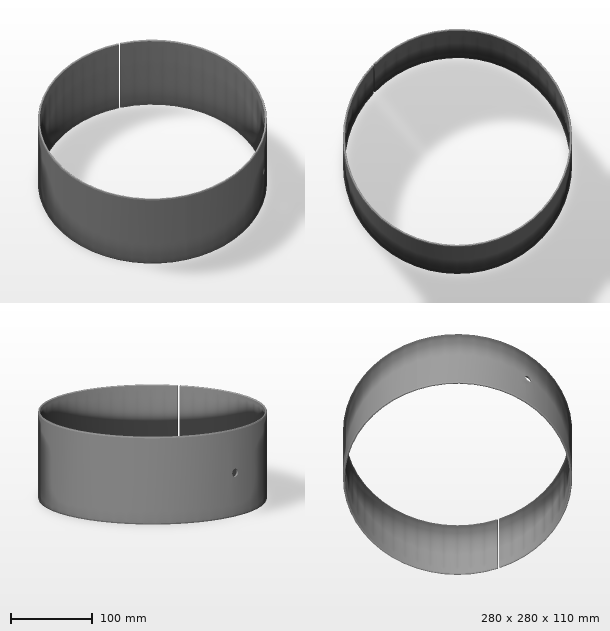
import cadquery as cq

outer_diameter = 280.0
height = 110.0
wall = 2.5
outer_bevel_drop = 1.7
outer_bevel_width = 0.5
inner_bevel = 0.8
split_width = 2.5
hole_diameter = 10.0
hole_angle = 59.0

outer_radius = outer_diameter / 2
inner_radius = outer_radius - wall
half_height = height / 2


def make_band():
    """Thin ring, centred on the origin, bevelled outside and inside at both rims."""
    rim_outer = outer_radius - outer_bevel_width
    rim_inner = inner_radius + inner_bevel
    outer_shoulder = half_height - outer_bevel_drop
    inner_shoulder = half_height - inner_bevel
    profile = [
        (inner_radius, -inner_shoulder),
        (rim_inner, -half_height),
        (rim_outer, -half_height),
        (outer_radius, -outer_shoulder),
        (outer_radius, outer_shoulder),
        (rim_outer, half_height),
        (rim_inner, half_height),
        (inner_radius, inner_shoulder),
    ]
    return cq.Workplane("XZ").polyline(profile).close().revolve(360, (0, 0), (0, 1))


def make_split():
    """Full-height cut through the -X wall, with one face on the XZ plane."""
    cutter = cq.Workplane("XY").box(outer_radius, split_width, height, centered=(False, False, True))
    return cutter.translate((-outer_radius, 0, 0))


def make_hole():
    """Radial drill through one wall at mid-height."""
    drill = cq.Workplane("YZ").circle(hole_diameter / 2).extrude(outer_diameter)
    return drill.rotate((0, 0, 0), (0, 0, 1), hole_angle)


result = make_band().cut(make_split()).cut(make_hole())